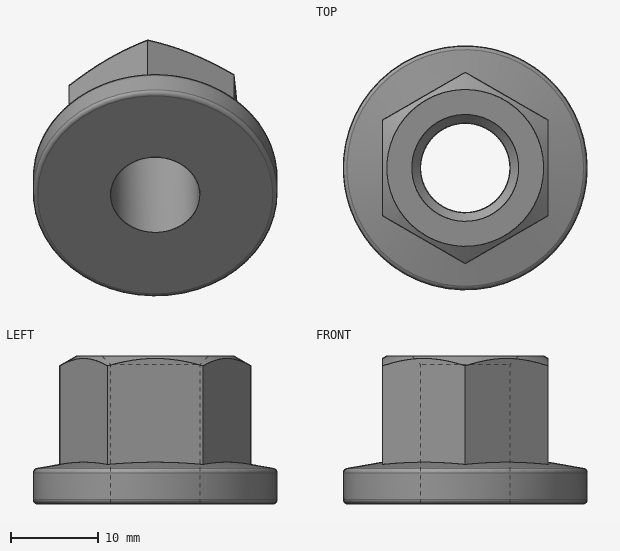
import cadquery as cq
import math

height = 17.0
flange_diameter = 28.0
flange_rim_height = 4.0
flange_slope = 10.0
rim_fillet = 0.5
across_flats = 19.0
top_face_diameter = 18.0
hex_chamfer_slope = 30.0
bore_diameter = 10.25
countersink_diameter = 12.25

flange_radius = flange_diameter / 2
across_corners = across_flats / math.cos(math.radians(30))
flange_apex_height = flange_rim_height + flange_radius * math.tan(math.radians(flange_slope))
countersink_depth = (countersink_diameter - bore_diameter) / 2


def revolve_about_z(points):
    """Revolve a closed radius-height outline about the Z axis."""
    return cq.Workplane("XZ").polyline(points).close().revolve(360, (0, 0), (0, 1))


def make_flange():
    """Round flange with a conical top and rounded rim edges."""
    flange = revolve_about_z([
        (0, 0),
        (flange_radius, 0),
        (flange_radius, flange_rim_height),
        (0, flange_apex_height),
    ])
    return flange.edges("%CIRCLE").fillet(rim_fillet)


def make_hexagon():
    """Hexagon with corners on the Y axis, its top corners cut by a cone."""
    hexagon = (
        cq.Workplane("XY")
        .polygon(6, across_corners)
        .extrude(height)
        .rotate((0, 0, 0), (0, 0, 1), 90)
    )
    top_radius = top_face_diameter / 2
    cone_drop = (flange_radius - top_radius) * math.tan(math.radians(hex_chamfer_slope))
    envelope = revolve_about_z([
        (0, 0),
        (flange_radius, 0),
        (flange_radius, height - cone_drop),
        (top_radius, height),
        (0, height),
    ])
    return hexagon.intersect(envelope)


def make_bore():
    """Through bore with a countersink at the top."""
    bore_radius = bore_diameter / 2
    return revolve_about_z([
        (0, 0),
        (bore_radius, 0),
        (bore_radius, height - countersink_depth),
        (countersink_diameter / 2, height),
        (0, height),
    ])


result = make_flange().union(make_hexagon()).cut(make_bore())